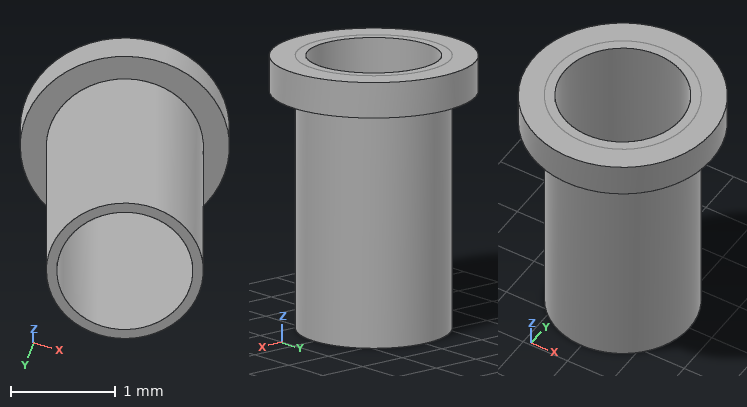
import cadquery as cq

total_height = 2.7
flange_diameter = 2.0
flange_thickness = 0.35
sleeve_diameter = 1.5
bore_diameter = 1.3

flange_bottom = total_height - flange_thickness


def ring(outer_diameter, inner_diameter, bottom, height):
    """Ring around the Z axis, standing on the given bottom level."""
    return (
        cq.Workplane("XY", origin=(0, 0, bottom))
        .circle(outer_diameter / 2)
        .circle(inner_diameter / 2)
        .extrude(height)
    )


sleeve = ring(sleeve_diameter, bore_diameter, 0, total_height)
flange = ring(flange_diameter, sleeve_diameter, flange_bottom, flange_thickness)

result = sleeve.union(flange, clean=False)